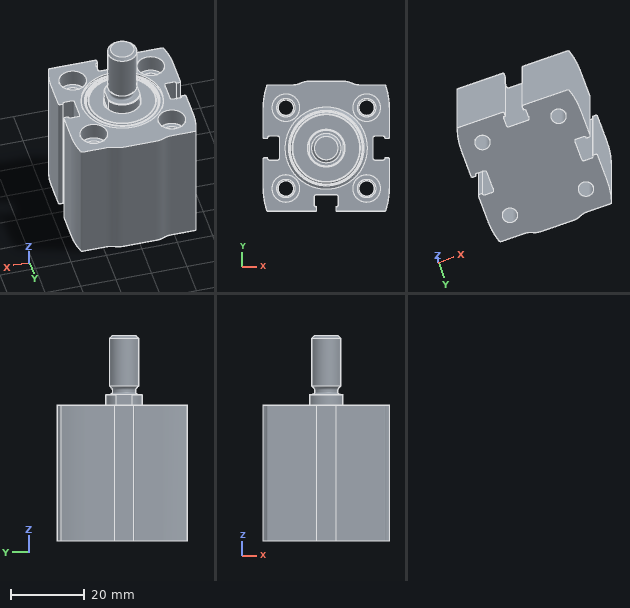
import cadquery as cq
import math

TOTAL_HEIGHT = 56.0
HOUSING_HEIGHT = 37.0
HOUSING_WIDTH = 34.5
HALF_WIDTH = HOUSING_WIDTH / 2

RIB_HEIGHT = 1.0
RIB_WIDTH = 13.8
RIB_BLEND_RADIUS = 5.0
FLANK_HALF_LENGTH = 10.75
FLANK_RADIUS = 20.0
CORNER_FILLET = 0.5

SLOT_OPENING = 5.2
SLOT_CAVITY_WIDTH = 6.5
SLOT_DEPTH = 4.5
SLOT_LIP = 1.3
SLOT_CAVITY_FILLET = 0.5
SLOT_MOUTH_FILLET = 0.4
SLOT_ANGLES = (0, 180, 270)

BOLT_PITCH = 22.0
BOLT_DIAMETER = 4.15
BOLT_CHAMFER_DIAMETER = 5.05
BOLT_CHAMFER = (BOLT_CHAMFER_DIAMETER - BOLT_DIAMETER) / 2
COUNTERBORE_DIAMETER = 7.5
COUNTERBORE_DEPTH = 5.0

RECESS_DIAMETER = 22.4
RECESS_DEPTH = 0.7
LAND_OUTER_DIAMETER = 20.6
LAND_INNER_DIAMETER = 20.0
LAND_DEPTH = 0.15
GROOVE_INNER_DIAMETER = 19.6
GROOVE_DEPTH = 0.7
COVER_RIM_DIAMETER = 18.6
COVER_RIM_DEPTH = 0.1
COVER_FACE_DIAMETER = 18.25
COVER_FACE_DEPTH = 0.2

ROD_DIAMETER = 10.0
ROD_INSERTION = 10.0
ROD_CLEARANCE_DIAMETER = 10.3
ROD_CLEARANCE_DEPTH = 1.0
COLLAR_HEIGHT = 2.95
COLLAR_CHAMFER = 0.15
WRENCH_FLATS = 9.0
THREAD_DIAMETER = 8.0
NECK_DIAMETER = 6.4
NECK_LENGTH = 2.25
CONE_ANGLE = 45.0
NECK_FILLET = 0.55
CONE_FILLET = 0.8
TIP_CHAMFER = (THREAD_DIAMETER - NECK_DIAMETER) / 2

COVER_FACE_Z = HOUSING_HEIGHT - COVER_FACE_DEPTH
COLLAR_TOP_Z = HOUSING_HEIGHT + COLLAR_HEIGHT
ROD_BOTTOM_Z = HOUSING_HEIGHT - ROD_INSERTION
CLEARANCE_FLOOR_Z = HOUSING_HEIGHT - ROD_CLEARANCE_DEPTH


def flank_x(y):
    """Half width of the body at a given y on its curved flank."""
    rise = y - FLANK_HALF_LENGTH
    return HALF_WIDTH - FLANK_RADIUS + math.sqrt(FLANK_RADIUS**2 - rise**2)


def make_profile():
    """Extruded outer shape with curved flanks and rounded corners."""
    corner_x = flank_x(HALF_WIDTH)
    mid_y = (FLANK_HALF_LENGTH + HALF_WIDTH) / 2
    mid_x = flank_x(mid_y)
    profile = (
        cq.Workplane("XY")
        .moveTo(-corner_x, -HALF_WIDTH)
        .lineTo(corner_x, -HALF_WIDTH)
        .threePointArc((mid_x, -mid_y), (HALF_WIDTH, -FLANK_HALF_LENGTH))
        .lineTo(HALF_WIDTH, FLANK_HALF_LENGTH)
        .threePointArc((mid_x, mid_y), (corner_x, HALF_WIDTH))
        .lineTo(-corner_x, HALF_WIDTH)
        .threePointArc((-mid_x, mid_y), (-HALF_WIDTH, FLANK_HALF_LENGTH))
        .lineTo(-HALF_WIDTH, -FLANK_HALF_LENGTH)
        .threePointArc((-mid_x, -mid_y), (-corner_x, -HALF_WIDTH))
        .close()
        .extrude(HOUSING_HEIGHT)
    )
    corners = [(sx * corner_x, sy * HALF_WIDTH) for sx in (-1, 1) for sy in (-1, 1)]
    return fillet_upright_edges(profile, corners, CORNER_FILLET)


def make_rib():
    """Rib on the +Y face; each side is an S of two tangent arcs."""
    middle_x = RIB_WIDTH / 2
    middle_y = HALF_WIDTH + RIB_HEIGHT / 2
    top_y = HALF_WIDTH + RIB_HEIGHT
    arc_angle = math.acos(1 - RIB_HEIGHT / 2 / RIB_BLEND_RADIUS)
    arc_width = RIB_BLEND_RADIUS * math.sin(arc_angle)
    base_x = middle_x + arc_width
    top_x = middle_x - arc_width
    return (
        cq.Workplane("XY")
        .moveTo(-base_x, 0)
        .lineTo(base_x, 0)
        .lineTo(base_x, HALF_WIDTH)
        .radiusArc((middle_x, middle_y), RIB_BLEND_RADIUS)
        .radiusArc((top_x, top_y), -RIB_BLEND_RADIUS)
        .lineTo(-top_x, top_y)
        .radiusArc((-middle_x, middle_y), -RIB_BLEND_RADIUS)
        .radiusArc((-base_x, HALF_WIDTH), RIB_BLEND_RADIUS)
        .close()
        .extrude(HOUSING_HEIGHT)
    )


def fillet_upright_edges(body, points, radius):
    """Round the full-height edges that stand at the given XY points."""
    for x, y in points:
        middle = (x, y, HOUSING_HEIGHT / 2)
        body = body.edges(cq.selectors.NearestToPointSelector(middle)).fillet(radius)
    return body


def make_slot_cutter():
    """T-slot opening toward +X, over the full housing height."""
    cavity_depth = SLOT_DEPTH - SLOT_LIP
    centred = (False, True, False)
    cavity = (
        cq.Workplane("XY")
        .box(cavity_depth, SLOT_CAVITY_WIDTH, HOUSING_HEIGHT, centered=centred)
        .edges("|Z")
        .fillet(SLOT_CAVITY_FILLET)
    )
    opening = (
        cq.Workplane("XY")
        .box(SLOT_DEPTH, SLOT_OPENING, HOUSING_HEIGHT, centered=centred)
    )
    return cavity.union(opening).translate((HALF_WIDTH - SLOT_DEPTH, 0, 0))


def cut_slots(body):
    """Cut the T-slots and round the outer edges of their lips."""
    mouth_edges = []
    for angle in SLOT_ANGLES:
        body = body.cut(make_slot_cutter().rotate((0, 0, 0), (0, 0, 1), angle))
        turn = math.radians(angle)
        for side_y in (-SLOT_OPENING / 2, SLOT_OPENING / 2):
            mouth_edges.append((
                HALF_WIDTH * math.cos(turn) - side_y * math.sin(turn),
                HALF_WIDTH * math.sin(turn) + side_y * math.cos(turn),
            ))
    return fillet_upright_edges(body, mouth_edges, SLOT_MOUTH_FILLET)


def cut_mounting_holes(body):
    """Four through holes with a chamfer at the floor of each counterbore."""
    floor_z = HOUSING_HEIGHT - COUNTERBORE_DEPTH
    cutter = (
        cq.Workplane("XZ")
        .polyline([
            (0, 0),
            (BOLT_DIAMETER / 2, 0),
            (BOLT_DIAMETER / 2, floor_z - BOLT_CHAMFER),
            (BOLT_CHAMFER_DIAMETER / 2, floor_z),
            (COUNTERBORE_DIAMETER / 2, floor_z),
            (COUNTERBORE_DIAMETER / 2, HOUSING_HEIGHT),
            (0, HOUSING_HEIGHT),
        ])
        .close()
        .revolve(360, (0, 0, 0), (0, 1, 0))
    )
    for x in (-BOLT_PITCH / 2, BOLT_PITCH / 2):
        for y in (-BOLT_PITCH / 2, BOLT_PITCH / 2):
            body = body.cut(cutter.translate((x, y, 0)))
    return body


def cut_cover_recess(body):
    """Stepped ring recess around the end cover, with two conical walls."""
    cutter = (
        cq.Workplane("XZ")
        .polyline([
            (0, HOUSING_HEIGHT),
            (RECESS_DIAMETER / 2, HOUSING_HEIGHT),
            (RECESS_DIAMETER / 2, HOUSING_HEIGHT - RECESS_DEPTH),
            (LAND_OUTER_DIAMETER / 2, HOUSING_HEIGHT - LAND_DEPTH),
            (LAND_INNER_DIAMETER / 2, HOUSING_HEIGHT - LAND_DEPTH),
            (LAND_INNER_DIAMETER / 2, HOUSING_HEIGHT - GROOVE_DEPTH),
            (GROOVE_INNER_DIAMETER / 2, HOUSING_HEIGHT - GROOVE_DEPTH),
            (COVER_RIM_DIAMETER / 2, HOUSING_HEIGHT - COVER_RIM_DEPTH),
            (COVER_FACE_DIAMETER / 2, HOUSING_HEIGHT - COVER_RIM_DEPTH),
            (COVER_FACE_DIAMETER / 2, COVER_FACE_Z),
            (0, COVER_FACE_Z),
        ])
        .close()
        .revolve(360, (0, 0, 0), (0, 1, 0))
    )
    return body.cut(cutter)


def make_housing():
    """Cylinder housing with its end cover and a blind hole for the rod."""
    body = cut_slots(make_profile().union(make_rib()))
    body = cut_mounting_holes(body)
    body = cut_cover_recess(body)
    rod_hole = (
        cq.Workplane("XY", origin=(0, 0, ROD_BOTTOM_Z))
        .circle(ROD_DIAMETER / 2)
        .extrude(ROD_INSERTION)
    )
    clearance = (
        cq.Workplane("XY", origin=(0, 0, CLEARANCE_FLOOR_Z))
        .circle(ROD_CLEARANCE_DIAMETER / 2)
        .extrude(ROD_CLEARANCE_DEPTH)
    )
    return body.cut(rod_hole).cut(clearance)


def make_rod():
    """Piston rod with a collar, an undercut neck and a plain thread stub."""
    rod_r = ROD_DIAMETER / 2
    neck_r = NECK_DIAMETER / 2
    thread_r = THREAD_DIAMETER / 2
    thread_z = COLLAR_TOP_Z + NECK_LENGTH
    cone_angle = math.radians(CONE_ANGLE)
    cone_z = thread_z - (thread_r - neck_r) / math.tan(cone_angle)
    tangent = CONE_FILLET * math.tan(cone_angle / 2)
    bend_z = cone_z - tangent
    bend_mid_r = neck_r + CONE_FILLET * (1 - math.cos(cone_angle / 2))
    bend_mid_z = bend_z + CONE_FILLET * math.sin(cone_angle / 2)
    bend_end_r = neck_r + tangent * math.sin(cone_angle)
    bend_end_z = cone_z + tangent * math.cos(cone_angle)
    rod = (
        cq.Workplane("XZ")
        .moveTo(0, ROD_BOTTOM_Z)
        .lineTo(rod_r, ROD_BOTTOM_Z)
        .lineTo(rod_r, COLLAR_TOP_Z - COLLAR_CHAMFER)
        .lineTo(rod_r - COLLAR_CHAMFER, COLLAR_TOP_Z)
        .lineTo(neck_r + NECK_FILLET, COLLAR_TOP_Z)
        .radiusArc((neck_r, COLLAR_TOP_Z + NECK_FILLET), NECK_FILLET)
        .lineTo(neck_r, bend_z)
        .threePointArc((bend_mid_r, bend_mid_z), (bend_end_r, bend_end_z))
        .lineTo(thread_r, thread_z)
        .lineTo(thread_r, TOTAL_HEIGHT - TIP_CHAMFER)
        .lineTo(thread_r - TIP_CHAMFER, TOTAL_HEIGHT)
        .lineTo(0, TOTAL_HEIGHT)
        .close()
        .revolve(360, (0, 0, 0), (0, 1, 0))
    )
    return cut_wrench_flats(rod)


def cut_wrench_flats(rod):
    """Two flats on the collar, from the clearance floor up to the shoulder."""
    flat_height = COLLAR_TOP_Z - CLEARANCE_FLOOR_Z
    for side in (-1, 1):
        cutter = (
            cq.Workplane("XY", origin=(side * (WRENCH_FLATS + ROD_DIAMETER) / 2, 0, CLEARANCE_FLOOR_Z))
            .box(ROD_DIAMETER, ROD_DIAMETER, flat_height, centered=(True, True, False))
        )
        rod = rod.cut(cutter)
    return rod


housing = make_housing()
rod = make_rod()
result = cq.Compound.makeCompound([housing.val(), rod.val()])